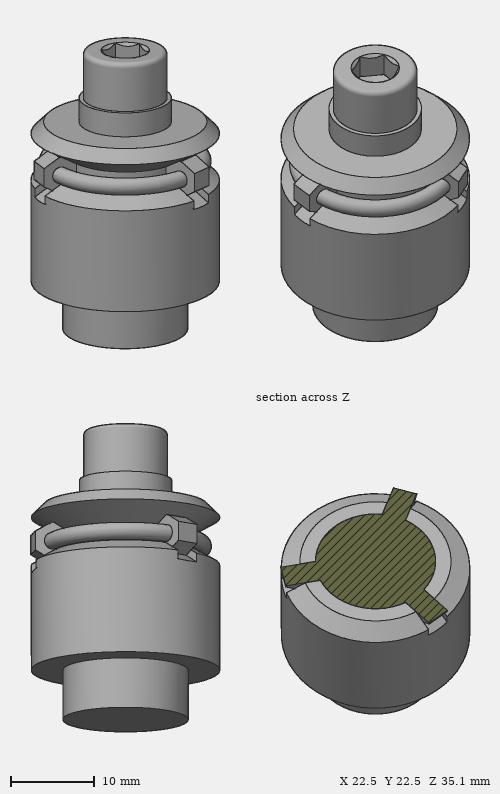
import cadquery as cq
import math

spigot_height = 6.0
body_edge_z = 18.75
jaw_mid_z = 21.05
ring_mid_z = 21.1
flange_edge_z = 24.57
flange_top_z = 26.08
collar_top_z = 29.1
total_height = 35.1

spigot_radius = 7.48
outer_diameter = 22.5
outer_radius = outer_diameter / 2
collar_radius = 5.5
head_diameter = 10.0
head_radius = head_diameter / 2
head_fillet = 0.6

groove_slope = math.tan(math.radians(30))
flange_chamfer = flange_top_z - flange_edge_z

gap_bottom_z = 20.05
gap_top_z = 22.22
body_top_radius = outer_radius - (gap_bottom_z - body_edge_z) / groove_slope
core_radius = outer_radius - (flange_edge_z - gap_top_z) / groove_slope

ring_wire_radius = 1.02
ring_outer_radius = 10.25

jaw_count = 3
jaw_width = 2.95
first_jaw_angle = -90
jaw_tip_height = 2.3
jaw_slope_length = 1.95
jaw_shoulder_radius = outer_radius - jaw_slope_length
jaw_half_height = jaw_tip_height / 2 + jaw_slope_length * groove_slope

socket_flats = 5.0
socket_depth = 3.0
socket_point_half_angle = 60
socket_corner_radius = socket_flats / 2 / math.cos(math.radians(30))
lead_in_half_angle = 45


def turned_body():
    """Spigot, body, core, flange, collar and screw head as one revolved outline."""
    outline = (
        cq.Workplane("XZ")
        .moveTo(0, 0)
        .lineTo(spigot_radius, 0)
        .lineTo(spigot_radius, spigot_height)
        .lineTo(outer_radius, spigot_height)
        .lineTo(outer_radius, body_edge_z)
        .lineTo(body_top_radius, gap_bottom_z)
        .lineTo(core_radius, gap_bottom_z)
        .lineTo(core_radius, gap_top_z)
        .lineTo(outer_radius, flange_edge_z)
        .lineTo(outer_radius - flange_chamfer, flange_top_z)
        .lineTo(collar_radius, flange_top_z)
        .lineTo(collar_radius, collar_top_z)
        .lineTo(head_radius, collar_top_z)
        .lineTo(head_radius, total_height)
        .lineTo(0, total_height)
        .close()
    )
    turned = outline.revolve(360, (0, 0, 0), (0, 1, 0))
    return turned.faces(">Z").edges().fillet(head_fillet)


def radial_prism(profile, angle):
    """Prism of jaw width with a (radius, height) profile, turned to an angle about Z."""
    prism = cq.Workplane("XZ").polyline(profile).close().extrude(jaw_width / 2, both=True)
    return prism.rotate((0, 0, 0), (0, 0, 1), angle)


def jaw(angle):
    """Jaw with a flat tip and sloping faces, its inner end buried in the core."""
    bottom_z = jaw_mid_z - jaw_half_height
    top_z = jaw_mid_z + jaw_half_height
    profile = [
        (0, bottom_z),
        (jaw_shoulder_radius, bottom_z),
        (outer_radius, jaw_mid_z - jaw_tip_height / 2),
        (outer_radius, jaw_mid_z + jaw_tip_height / 2),
        (jaw_shoulder_radius, top_z),
        (0, top_z),
    ]
    return radial_prism(profile, angle)


def jaw_notch(angle):
    """V-shaped notch in the body rim below a jaw."""
    vertex_z = jaw_mid_z - jaw_half_height
    reach = 2 * jaw_slope_length
    profile = [
        (jaw_shoulder_radius, vertex_z),
        (jaw_shoulder_radius + reach, vertex_z - reach * groove_slope),
        (jaw_shoulder_radius + reach, vertex_z + reach * groove_slope),
    ]
    return radial_prism(profile, angle)


def retaining_ring():
    """Round-wire ring centred on the axis, joined to all the jaws."""
    ring = cq.Solid.makeTorus(ring_outer_radius - ring_wire_radius, ring_wire_radius)
    return cq.Workplane(ring.translate(cq.Vector(0, 0, ring_mid_z)))


def hexagon_socket():
    """Hexagonal hole with a conical bottom and a conical lead-in at the mouth."""
    floor_z = total_height - socket_depth
    point_depth = socket_corner_radius / math.tan(math.radians(socket_point_half_angle))
    lead_in_depth = socket_corner_radius / math.tan(math.radians(lead_in_half_angle))
    hexagon = (
        cq.Workplane("XY", origin=(0, 0, floor_z))
        .polygon(6, 2 * socket_corner_radius)
        .extrude(socket_depth)
    )
    down = cq.Vector(0, 0, -1)
    floor = cq.Vector(0, 0, floor_z)
    mouth = cq.Vector(0, 0, total_height)
    point = cq.Solid.makeCone(socket_corner_radius, 0, point_depth, floor, down)
    lead_in = cq.Solid.makeCone(socket_corner_radius, 0, lead_in_depth, mouth, down)
    return hexagon.union(cq.Workplane(point)).union(cq.Workplane(lead_in))


result = turned_body()
for index in range(jaw_count):
    jaw_angle = first_jaw_angle + index * 360 / jaw_count
    result = result.cut(jaw_notch(jaw_angle)).union(jaw(jaw_angle))
result = result.union(retaining_ring()).cut(hexagon_socket())